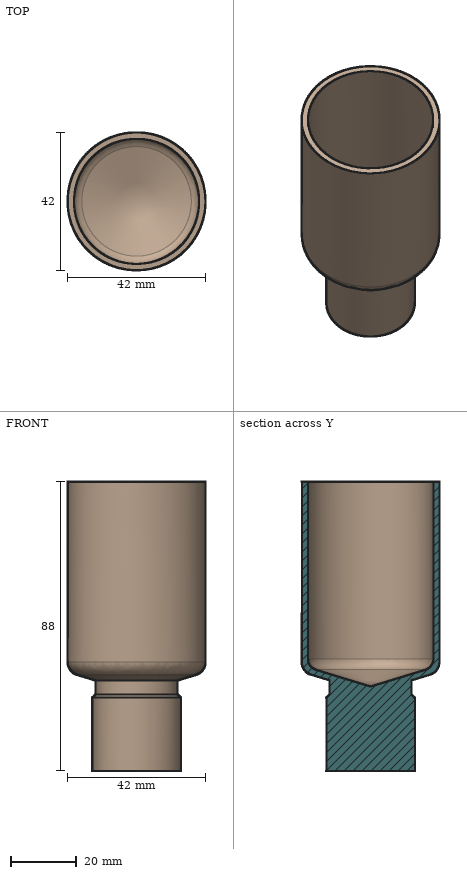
import cadquery as cq
import math

total_height = 88.0
cup_radius = 42.0 / 2
bore_radius = 38.0 / 2
wall = cup_radius - bore_radius

stem_radius = 27.0 / 2
neck_radius = 25.0 / 2
stem_height = 22.35
neck_top = 27.5
stem_chamfer = stem_radius - neck_radius

cone_slope = math.tan(math.radians(17))
outer_corner_radius = 4.1
inner_corner_radius = 3.3

outer_apex = neck_top - neck_radius * cone_slope
floor_apex = outer_apex + wall * math.hypot(1, cone_slope)


def conical_bottom_body(radius, apex_height, corner_radius):
    """Cylinder up to the rim with a conical bottom and a rounded lower corner."""
    corner_height = apex_height + radius * cone_slope
    profile = (
        cq.Workplane("XZ")
        .moveTo(0, apex_height)
        .lineTo(radius, corner_height)
        .lineTo(radius, total_height)
        .lineTo(0, total_height)
        .close()
    )
    body = profile.revolve(360, (0, 0, 0), (0, 1, 0))
    return body.edges("%CIRCLE").edges("<Z").fillet(corner_radius)


stem = cq.Workplane("XY").circle(stem_radius).extrude(stem_height + stem_chamfer)
stem = stem.faces(">Z").edges().chamfer(stem_chamfer)
neck = cq.Workplane("XY").circle(neck_radius).extrude(neck_top)

outer_body = conical_bottom_body(cup_radius, outer_apex, outer_corner_radius)
cavity = conical_bottom_body(bore_radius, floor_apex, inner_corner_radius)

result = outer_body.union(stem).union(neck).cut(cavity)